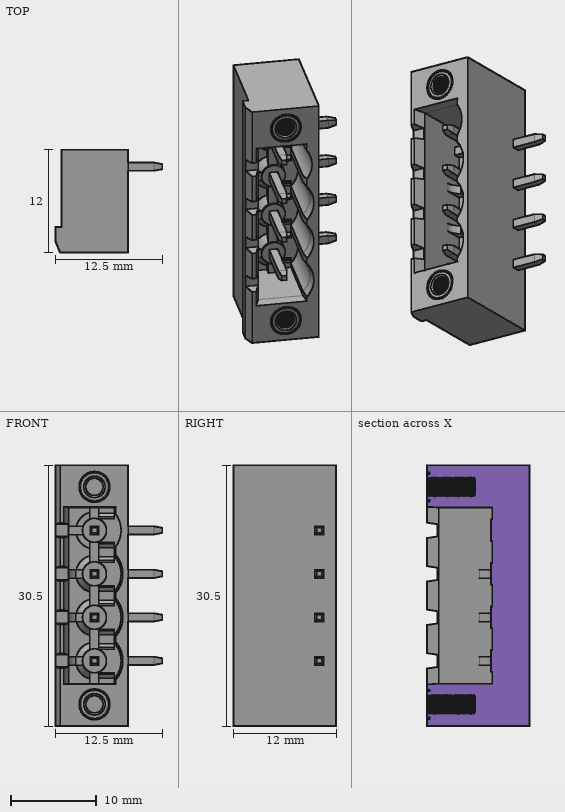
import cadquery as cq
import math


length = 30.48
housing_depth = 12.0
housing_right = 8.5
back_left = 0.7
ledge_y = 3.0
lip_chamfer_width = 0.55
lip_chamfer_depth = 1.28

pin_count = 4
pitch = length / (pin_count + 2)
pin_x = 4.57
pin_zs = [pitch * (i + 1.5) for i in range(pin_count)]
coded_pin_z = pin_zs[-1]
insert_zs = [pitch / 2, length - pitch / 2]

pin_width = 1.0
pin_tip_width = 0.6
pin_taper = 1.0
pin_tip_y = 1.1
leg_y = 10.03
leg_end_x = 12.5

pocket_end_gap = 4.97
pocket_left = 1.55
pocket_right = 6.85
pocket_depth = 8.53
lead_in_depth = 1.37
lead_in_left = 0.55
lead_in_right = 0.2
lead_in_end = 0.1

lobe_radius = 3.1
lobe_mouth_radius = 3.32

post_radius = 1.4
post_height = 1.07
mound_radius = 2.15
coded_mound_height = 0.15
bar_left = 4.0
bar_right = 5.1
bar_height = 0.9
scoop_turn = math.radians(60)
ridge_inner = 1.37
ridge_crest = 1.6
ridge_outer = 2.0
ridge_height = 0.25

notch_depth = 1.22
notch_half_floor = 0.7
notch_half_mouth = 0.88

insert_radius = 1.8
knurl_teeth = 36
knurl_root_radius = 1.62
knurl_depth = 0.3
thread_minor_radius = 1.0
thread_major_radius = 1.25
thread_pitch = 0.3
thread_turns = 18


def box(x0, x1, y0, y1, z0, z1):
    return cq.Workplane("XY").box(x1 - x0, y1 - y0, z1 - z0, centered=False).translate((x0, y0, z0))


def facing_back(x, y, z):
    """Workplane parallel to the mating face, extruding toward +Y; its local y axis is -Z."""
    return cq.Workplane(cq.Plane(origin=(x, y, z), xDir=(1, 0, 0), normal=(0, 1, 0)))


def round_bar(z, y0, y1, radius, end_radius=None):
    """Cylinder or cone along Y, centred on the pin line."""
    if end_radius is None:
        return facing_back(pin_x, y0, z).circle(radius).extrude(y1 - y0)
    return facing_back(pin_x, y0, z).circle(radius).workplane(offset=y1 - y0).circle(end_radius).loft()


def housing():
    outline = [
        (lip_chamfer_width, 0),
        (housing_right, 0),
        (housing_right, housing_depth),
        (back_left, housing_depth),
        (back_left, ledge_y),
        (0, ledge_y),
        (0, lip_chamfer_depth),
    ]
    return cq.Workplane("XY").polyline(outline).close().extrude(length)


def lobe(z):
    bore = round_bar(z, 0, pocket_depth, lobe_radius)
    if z != coded_pin_z:
        bore = bore.union(round_bar(z, 0, lead_in_depth, lobe_mouth_radius, lobe_radius))
    right_half = box(pin_x, housing_right, 0, pocket_depth, z - pitch / 2, z + pitch / 2)
    return bore.intersect(right_half)


def pocket():
    z0 = pocket_end_gap
    z1 = length - pocket_end_gap
    space = box(pocket_left, pocket_right, 0, pocket_depth, z0, z1)
    mouth_width = pocket_right - pocket_left + lead_in_left + lead_in_right
    mouth_middle = (pocket_left - lead_in_left + pocket_right + lead_in_right) / 2
    lead_in = (
        facing_back(mouth_middle, 0, length / 2)
        .rect(mouth_width, z1 - z0 + 2 * lead_in_end)
        .workplane(offset=lead_in_depth)
        .center((pocket_left + pocket_right) / 2 - mouth_middle, 0)
        .rect(pocket_right - pocket_left, z1 - z0)
        .loft()
    )
    space = space.union(lead_in)
    for z in pin_zs:
        space = space.union(lobe(z))
    return space


def notch(z):
    profile = [
        (0, z - notch_half_mouth),
        (0, z + notch_half_mouth),
        (notch_depth, z + notch_half_floor),
        (notch_depth, z - notch_half_floor),
    ]
    return cq.Workplane("YZ").polyline(profile).close().extrude(pocket_left)


def floor_ridge(z, side):
    """Ridge beside the pin, upright toward it and sloped away; side is +1 above it and -1 below."""
    crest_y = pocket_depth - ridge_height
    profile = [
        (pocket_depth, z + side * ridge_inner),
        (crest_y, z + side * ridge_inner),
        (crest_y, z + side * ridge_crest),
        (pocket_depth, z + side * ridge_outer),
    ]
    ridge = cq.Workplane("YZ").polyline(profile).close().extrude(pocket_right - bar_right)
    return ridge.translate((bar_right, 0, 0))


def floor_rib(z):
    """Rib from the left wall to the post, with a hollow curve up the wall except at the coded pin."""
    rib_y = pocket_depth - bar_height
    z0 = z - pin_width / 2
    rib = box(pocket_left, pin_x, rib_y, pocket_depth, z0, z0 + pin_width)
    if z == coded_pin_z:
        return rib
    scoop_width = pin_x - mound_radius - pocket_left
    scoop_radius = scoop_width / (1 - math.cos(scoop_turn))
    scoop_rise = scoop_radius * math.sin(scoop_turn)
    half_turn = scoop_turn / 2
    scoop_middle = (
        scoop_radius * (1 - math.cos(half_turn)),
        scoop_radius * math.sin(half_turn) - scoop_rise,
    )
    scoop = (
        cq.Workplane("XY", origin=(pocket_left, rib_y, z0))
        .lineTo(0, -scoop_rise)
        .threePointArc(scoop_middle, (scoop_width, 0))
        .close()
        .extrude(pin_width)
    )
    return rib.union(scoop)


def mound(z):
    """Raised half-round left of the bar: a cone, or a low flat step at the coded pin."""
    if z == coded_pin_z:
        full = round_bar(z, pocket_depth - coded_mound_height, pocket_depth, mound_radius)
    else:
        full = round_bar(z, pocket_depth - bar_height, pocket_depth, post_radius, mound_radius)
    return full.intersect(box(pocket_left, bar_left, 0, pocket_depth, z - pitch / 2, z + pitch / 2))


def pole_floor(z):
    post = round_bar(z, pocket_depth - post_height, pocket_depth, post_radius)
    ridges = floor_ridge(z, 1).union(floor_ridge(z, -1))
    return post.union(mound(z)).union(ridges).union(floor_rib(z))


def tapered_pin(plane, total):
    """Square pin from the plane's origin along its normal, ending in a taper."""
    start = cq.Workplane(plane)
    shank = start.rect(pin_width, pin_width).extrude(total - pin_taper)
    tip = (
        start.workplane(offset=total - pin_taper)
        .rect(pin_width, pin_width)
        .workplane(offset=pin_taper)
        .rect(pin_tip_width, pin_tip_width)
        .loft()
    )
    return shank.union(tip)


def bent_pin(z):
    corner = (pin_x, leg_y, z)
    contact = tapered_pin(cq.Plane(origin=corner, xDir=(1, 0, 0), normal=(0, -1, 0)), leg_y - pin_tip_y)
    leg = tapered_pin(cq.Plane(origin=corner, xDir=(0, 1, 0), normal=(1, 0, 0)), leg_end_x - pin_x)
    return contact.union(leg)


def knurl_gaps(z):
    """Space between the round seat and the toothed rim of the insert."""
    rim = []
    for i in range(2 * knurl_teeth):
        radius = insert_radius if i % 2 else knurl_root_radius
        angle = math.pi * i / knurl_teeth
        rim.append((radius * math.cos(angle), radius * math.sin(angle)))
    toothed = facing_back(pin_x, 0, z).polyline(rim).close().extrude(knurl_depth)
    return round_bar(z, 0, knurl_depth, insert_radius).cut(toothed)


def threaded_hole(z):
    """Blind hole with V-shaped thread grooves, opening in a countersink at the face."""
    profile = [(0, 0), (thread_major_radius, 0)]
    for i in range(thread_turns):
        y = i * thread_pitch
        profile.append((thread_minor_radius, y + thread_pitch / 2))
        profile.append((thread_major_radius, y + thread_pitch))
    hole_end = (thread_turns + 0.5) * thread_pitch
    profile += [(thread_minor_radius, hole_end), (0, hole_end)]
    hole = cq.Workplane("XY").polyline(profile).close().revolve(360, (0, 0, 0), (0, 1, 0))
    return hole.translate((pin_x, 0, z))


result = housing().cut(pocket())

for z in pin_zs:
    result = result.cut(notch(z))

floor_bar = box(
    bar_left, bar_right, pocket_depth - bar_height, pocket_depth, pocket_end_gap, length - pocket_end_gap
)
result = result.union(floor_bar)
for z in pin_zs:
    result = result.union(pole_floor(z)).union(bent_pin(z))

for z in insert_zs:
    result = result.cut(knurl_gaps(z)).cut(threaded_hole(z))